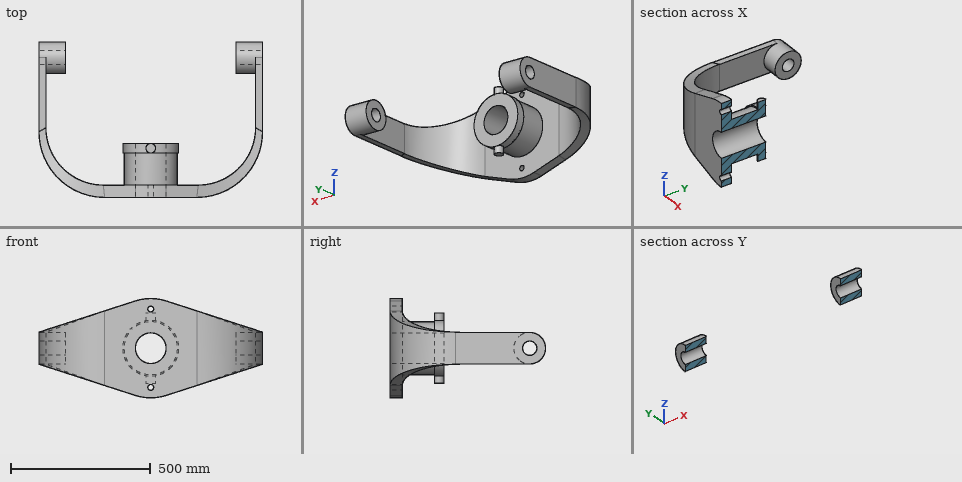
import cadquery as cq
import math

SPAN = 800.0
DEPTH = 557.0
PLATE_HEIGHT = 356.0
PLATE_THICKNESS = 45.0
ARM_THICKNESS = 26.0
ARM_HEIGHT = 114.0
BEND_OUTER_RADIUS = 235.0
BEND_INNER_RADIUS = 205.0
BEND_END_HEIGHT = 115.0

PIVOT_LENGTH = 96.0
PIVOT_HOLE_DIAMETER = 50.0

BORE_DIAMETER = 109.0
HUB_DIAMETER = 190.0
COLLAR_DIAMETER = 200.0
COLLAR_THICKNESS = 34.0
COLLAR_BACK = 194.0
PIN_SPAN = 252.0

MOUNT_HOLE_DIAMETER = 20.0
MOUNT_HOLE_SPACING = 280.0

HALF_SPAN = SPAN / 2
INNER_HALF_SPAN = HALF_SPAN - ARM_THICKNESS
PIVOT_RADIUS = ARM_HEIGHT / 2
PIVOT_Y = DEPTH - PIVOT_RADIUS
BEND_END_Y = PLATE_THICKNESS + BEND_INNER_RADIUS
COLLAR_FRONT = COLLAR_BACK - COLLAR_THICKNESS

BEND_OUTER_X = HALF_SPAN - BEND_OUTER_RADIUS
BEND_INNER_X = INNER_HALF_SPAN - BEND_INNER_RADIUS
BEND_CURVE_STEPS = 24

END_Z = BEND_END_HEIGHT / 2
TANGENT_ANGLE = math.atan2(END_Z, HALF_SPAN) + math.acos(PLATE_HEIGHT / 2 / math.hypot(HALF_SPAN, END_Z))
TANGENT_X = PLATE_HEIGHT / 2 * math.cos(TANGENT_ANGLE)
TANGENT_Z = PLATE_HEIGHT / 2 * math.sin(TANGENT_ANGLE)


def cylinder_y(diameter, start, end, z=0):
    """Cylinder along Y, centred on X = 0."""
    axis = cq.Plane(origin=(0, start, z), xDir=(1, 0, 0), normal=(0, 1, 0))
    return cq.Workplane(axis).circle(diameter / 2).extrude(end - start)


def tapered_outline():
    """Diamond prism whose sides run tangent to the round top and bottom."""
    return (
        cq.Workplane("XZ")
        .moveTo(HALF_SPAN, -END_Z)
        .lineTo(HALF_SPAN, END_Z)
        .lineTo(TANGENT_X, TANGENT_Z)
        .threePointArc((0, PLATE_HEIGHT / 2), (-TANGENT_X, TANGENT_Z))
        .lineTo(-HALF_SPAN, END_Z)
        .lineTo(-HALF_SPAN, -END_Z)
        .lineTo(-TANGENT_X, -TANGENT_Z)
        .threePointArc((0, -PLATE_HEIGHT / 2), (TANGENT_X, -TANGENT_Z))
        .close()
        .extrude(-PLATE_THICKNESS)
    )


def plate():
    """Diamond plate with a round top and bottom, ending where the bends start."""
    footprint = (
        cq.Workplane("XY")
        .polyline([
            (-BEND_OUTER_X, 0),
            (BEND_OUTER_X, 0),
            (BEND_INNER_X, PLATE_THICKNESS),
            (-BEND_INNER_X, PLATE_THICKNESS),
        ])
        .close()
        .extrude(PLATE_HEIGHT / 2, both=True)
    )
    return footprint.intersect(tapered_outline())


def edge_height(x):
    """Height of the straight sloping edge of the diamond at a given X."""
    fraction = (HALF_SPAN - x) / (HALF_SPAN - TANGENT_X)
    return END_Z + (TANGENT_Z - END_Z) * fraction


def bend_edge(center_x, center_y, radius, level):
    """Quarter arc seen from above, its height falling evenly with X; level is -1 or +1."""
    start_z = edge_height(center_x)

    def point(turn):
        angle = turn * math.pi / 2
        z = start_z + (END_Z - start_z) * math.sin(angle)
        x = center_x + radius * math.sin(angle)
        y = center_y - radius * math.cos(angle)
        return (x, y, level * z)

    return cq.Workplane("XY").parametricCurve(point, N=BEND_CURVE_STEPS, makeWire=False).val()


def bend():
    """Right-hand bend that narrows from the plate to the arm, bounded by ruled faces."""
    outer_low, outer_high = [
        bend_edge(BEND_OUTER_X, BEND_OUTER_RADIUS, BEND_OUTER_RADIUS, level) for level in (-1, 1)
    ]
    inner_low, inner_high = [
        bend_edge(BEND_INNER_X, BEND_END_Y, BEND_INNER_RADIUS, level) for level in (-1, 1)
    ]
    edges = [outer_low, outer_high, inner_high, inner_low]
    faces = [cq.Face.makeRuledSurface(edges[i - 1], edges[i]) for i in range(len(edges))]
    for corners in ([edge.startPoint() for edge in edges], [edge.endPoint() for edge in edges]):
        faces.append(cq.Face.makeFromWires(cq.Wire.makePolygon(corners, close=True)))
    solid = cq.Solid.makeSolid(cq.Shell.makeShell(faces))
    return cq.Workplane(solid.fix())


def arm():
    """Right-hand straight arm with its pivot boss."""
    bar = (
        cq.Workplane("XY")
        .polyline([
            (HALF_SPAN, BEND_OUTER_RADIUS),
            (HALF_SPAN, PIVOT_Y),
            (INNER_HALF_SPAN, PIVOT_Y),
            (INNER_HALF_SPAN, BEND_END_Y),
        ])
        .close()
        .extrude(ARM_HEIGHT / 2, both=True)
    )
    pivot_face = cq.Workplane("YZ", origin=(HALF_SPAN, PIVOT_Y, 0))
    boss = pivot_face.circle(PIVOT_RADIUS).extrude(-PIVOT_LENGTH)
    hole = pivot_face.circle(PIVOT_HOLE_DIAMETER / 2).extrude(-PIVOT_LENGTH)
    return bar.union(boss).cut(hole)


def hub():
    """Barrel, collar and the pins that stand out above and below the collar."""
    barrel = cylinder_y(HUB_DIAMETER, PLATE_THICKNESS, COLLAR_FRONT)
    collar = cylinder_y(COLLAR_DIAMETER, COLLAR_FRONT, COLLAR_BACK)
    pins = (
        cq.Workplane("XY", origin=(0, COLLAR_BACK - COLLAR_THICKNESS / 2, 0))
        .circle(COLLAR_THICKNESS / 2)
        .extrude(PIN_SPAN / 2, both=True)
    )
    return barrel.union(collar).union(pins)


right_side = bend().union(arm())
left_side = right_side.mirror("YZ")
result = plate().union(right_side).union(left_side).union(hub())

result = result.cut(cylinder_y(BORE_DIAMETER, 0, COLLAR_BACK))
for side in (-1, 1):
    mount_z = side * MOUNT_HOLE_SPACING / 2
    result = result.cut(cylinder_y(MOUNT_HOLE_DIAMETER, 0, PLATE_THICKNESS, mount_z))